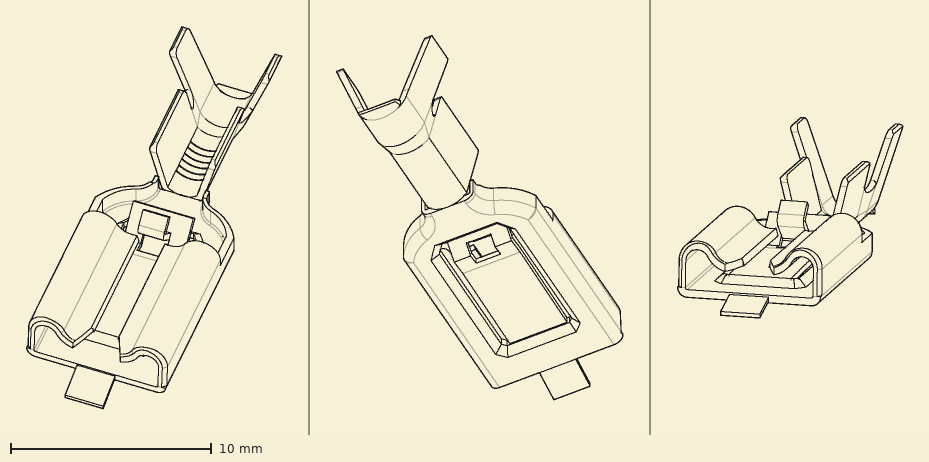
import cadquery as cq
import math


SHEET = 0.4
HALF_WIDTH = 3.7
BEND_INNER = 0.1
BEND_OUTER = BEND_INNER + SHEET
CURL_END = 7.69
WALL_TOP = 1.43

SHOULDER_START = 9.6
NECK_START = 11.85
NECK_HALF_WIDTH = 1.45
NECK_RADIUS = 0.9
NECK_SHEET = 0.2
NECK_SWEEP = math.radians(71)
NECK_DIP_RADIUS = 0.5
NECK_DIP_DEPTH = 0.16

CURL_OUTER = 1.0
CURL_CENTER_Z = 1.85
CURL_SWEEP = math.radians(62)
LIP_RADIUS = 1.14
LIP_OVERRUN = math.radians(15)
FRONT_SLANT = 0.17
FRONT_CHAMFER = 0.2
LEAD_IN_LENGTH = 1.4
LEAD_IN_HALF_WIDTH = 1.3
LIP_HALF_GAP = 0.7

EMBOSS_HALF_WIDTH = 2.36
EMBOSS_FRONT = 1.63
EMBOSS_BACK = 10.02
EMBOSS_SLOPE = 0.4
EMBOSS_BACK_CORNER_X = 0.62
EMBOSS_BACK_CORNER_Y = 0.82
EMBOSS_FRONT_CORNER = 0.45
EMBOSS_HEIGHT = 0.4
LANCE_HALF_WIDTH = 1.6
LANCE_SHEET = 0.32
LANCE_CREST = (7.2, 0.95)
LANCE_DIP = (8.03, 0.87)
LANCE_END = (9.42, 2.23)
HOOK_HALF_WIDTH = 0.68
HOOK_SHEET = 0.34
HOOK_FOLD = (7.48, 2.26)
HOOK_FOLD_RADIUS = 0.45
HOOK_ROOT_LENGTH = 1.62
HOOK_ARM_LENGTH = 1.24
HOOK_WINDOW_START = 7.54

BARREL_RADIUS = 1.41
BARREL_SHEET = 0.35
TIP_FLAT = 0.19
TIP_BEVEL = 0.15
WIRE_START, WIRE_END = 12.06, 16.22
WIRE_TOP = 3.44
WIRE_SHAPE = {"bottom": 0.0, "lean": math.radians(13.6), "arc": math.radians(51)}
GRIP_START, GRIP_END = 17.19, 19.2
GRIP_TOP = 4.73
GRIP_LEAN = math.radians(18.5)
GRIP_SHAPE = {"bottom": -0.37, "lean": GRIP_LEAN, "arc": math.pi / 2 - GRIP_LEAN}
GRIP_BACK_SLANT = 0.15
WING_CORNER = 0.36
VALLEY_BOTTOM = 1.66
GROOVE_DEPTH = 0.05
GROOVE_WIDTH = 0.39
GROOVE_HALF_LENGTH = 0.78
GROOVE_PITCH = 0.81
GROOVE_FIRST = 13.44
GROOVE_COUNT = 3

STUB_HALF_WIDTH = 1.015
STUB_SHEET = 0.2
FRONT_STUB_LENGTH = 1.66
FRONT_STUB_TOP = 0.3
FRONT_STUB_TIP_Z = -0.37
BACK_STUB_END = 19.79
BACK_STUB_TIP_Z = -0.25
BACK_STUB_TIP_RISE = 0.01

CLEAR = 1.0


def box(x_half, y_from, y_to, z_from, z_to):
    size = (2 * x_half, y_to - y_from, z_to - z_from)
    return cq.Workplane("XY").box(*size, centered=(True, False, False)).translate((0, y_from, z_from))


def across(profile, half_width):
    """Extrude a (Y, Z) profile symmetrically along X."""
    return profile.extrude(half_width, both=True)


def polar(center, radius, angle):
    """Point at an angle measured from +Z toward +X, in the XZ plane."""
    return (center[0] + radius * math.sin(angle), center[1] + radius * math.cos(angle))


def both_sides(solid):
    return solid.union(solid.mirror("YZ"))


def tray_outline(side_inset, neck_inset, front, back, z):
    """Plan outline of the box, shoulder and neck, moved inward by the insets."""
    side = HALF_WIDTH - side_inset
    neck = NECK_HALF_WIDTH - neck_inset
    center_x = NECK_HALF_WIDTH + NECK_RADIUS
    radius = NECK_RADIUS + neck_inset

    def on_neck(angle):
        return (center_x - radius * math.cos(angle), NECK_START - radius * math.sin(angle))

    half = (
        cq.Workplane("XY")
        .workplane(offset=z)
        .moveTo(0, back)
        .lineTo(neck, back)
        .lineTo(neck, NECK_START)
        .threePointArc(on_neck(NECK_SWEEP / 2), on_neck(NECK_SWEEP))
        .tangentArcPoint((side, SHOULDER_START), relative=False)
        .lineTo(side, front)
        .lineTo(0, front)
    )
    return half.mirrorY()


def make_tray():
    """Floor with low walls around the box, shoulder and neck."""
    outer = tray_outline(0, 0, 0, WIRE_START, 0).extrude(WALL_TOP)
    outer = outer.faces("<Z").edges("not(<Y or >Y)").fillet(BEND_OUTER)
    inner = tray_outline(SHEET, NECK_SHEET, -CLEAR, WIRE_START + CLEAR, SHEET).extrude(WALL_TOP)
    inner = inner.faces("<Z").edges("not(<Y or >Y)").fillet(BEND_INNER)
    dip_z = WALL_TOP - NECK_DIP_DEPTH + NECK_DIP_RADIUS
    dip = across(cq.Workplane("YZ").center(NECK_START, dip_z).circle(NECK_DIP_RADIUS), HALF_WIDTH)
    rolled_zone = box(HALF_WIDTH + CLEAR, -CLEAR, CURL_END, BEND_OUTER, WALL_TOP + CLEAR)
    return outer.cut(inner).cut(dip).cut(rolled_zone)


def make_rolled_walls():
    """Side walls rolled over into spring lips, with the mating end slanted and chamfered."""
    inner_radius = CURL_OUTER - SHEET
    curl = (CURL_OUTER - HALF_WIDTH, CURL_CENTER_Z)
    lip = polar(curl, CURL_OUTER - SHEET / 2 + LIP_RADIUS, CURL_SWEEP)
    lip_top = LIP_RADIUS - SHEET / 2
    lip_under = LIP_RADIUS + SHEET / 2
    lip_start = math.pi + CURL_SWEEP
    lip_end = math.pi - LIP_OVERRUN
    lip_mid = (lip_start + lip_end) / 2
    curl_mid = (CURL_SWEEP - math.pi / 2) / 2
    profile = (
        cq.Workplane("XZ")
        .moveTo(-HALF_WIDTH, BEND_OUTER)
        .lineTo(-HALF_WIDTH, CURL_CENTER_Z)
        .threePointArc(polar(curl, CURL_OUTER, curl_mid), polar(curl, CURL_OUTER, CURL_SWEEP))
        .threePointArc(polar(lip, lip_top, lip_mid), polar(lip, lip_top, lip_end))
        .lineTo(*polar(lip, lip_under, lip_end))
        .threePointArc(polar(lip, lip_under, lip_mid), polar(lip, lip_under, lip_start))
        .threePointArc(polar(curl, inner_radius, curl_mid), (SHEET - HALF_WIDTH, CURL_CENTER_Z))
        .lineTo(SHEET - HALF_WIDTH, BEND_OUTER)
        .close()
    )
    wall = profile.extrude(-CURL_END)
    curl_top = CURL_CENTER_Z + CURL_OUTER
    slant = [(0, BEND_OUTER), (FRONT_SLANT, curl_top), (-CLEAR, curl_top), (-CLEAR, BEND_OUTER)]
    wall = wall.cut(across(cq.Workplane("YZ").polyline(slant).close(), HALF_WIDTH + CLEAR))

    def on_outer_side(edge):
        x, _, z = edge.positionAt(0.5).toTuple()
        from_curl = math.hypot(x - curl[0], z - curl[1])
        from_lip = math.hypot(x - lip[0], z - lip[1])
        on_wall = abs(x + HALF_WIDTH) < SHEET / 4
        on_curl = abs(from_curl - CURL_OUTER) < SHEET / 4 and z > curl[1]
        on_lip = abs(from_lip - lip_top) < SHEET / 4
        return on_wall or on_curl or on_lip

    wall = wall.faces("<Y").edges().filter(on_outer_side).chamfer(FRONT_CHAMFER)
    lead_in = [
        (-LEAD_IN_HALF_WIDTH, 0),
        (-LIP_HALF_GAP, LEAD_IN_LENGTH),
        (0, LEAD_IN_LENGTH),
        (0, -CLEAR),
        (-LEAD_IN_HALF_WIDTH, -CLEAR),
    ]
    wall = wall.cut(cq.Workplane("XY").polyline(lead_in).close().extrude(curl_top))
    return both_sides(wall)


def emboss_outline(z):
    """Rectangle with cut corners, where the floor starts to rise."""
    side = EMBOSS_HALF_WIDTH
    right_side = [
        (side - EMBOSS_FRONT_CORNER, EMBOSS_FRONT),
        (side, EMBOSS_FRONT + EMBOSS_FRONT_CORNER),
        (side, EMBOSS_BACK - EMBOSS_BACK_CORNER_Y),
        (side - EMBOSS_BACK_CORNER_X, EMBOSS_BACK),
    ]
    points = right_side + [(-x, y) for x, y in reversed(right_side)]
    return cq.Workplane("XY").workplane(offset=z).polyline(points).close()


def emboss_floor(tray):
    """Raise a sloped frame from the floor and open the window inside it."""
    taper = math.degrees(math.atan2(EMBOSS_SLOPE, EMBOSS_HEIGHT))
    hollow = emboss_outline(0).extrude(EMBOSS_HEIGHT, taper=taper)
    raised = emboss_outline(SHEET).extrude(EMBOSS_HEIGHT, taper=taper)
    window = emboss_outline(0).offset2D(-EMBOSS_SLOPE, "intersection").extrude(SHEET + EMBOSS_HEIGHT)
    return tray.cut(hollow).union(raised.cut(hollow)).cut(window)


def make_lance():
    """Raised floor strip that bends up toward the wire end and carries a folded-over hook."""
    start = (EMBOSS_FRONT + EMBOSS_SLOPE, SHEET + EMBOSS_HEIGHT)
    top = [start, LANCE_CREST, LANCE_DIP, LANCE_END]
    slopes = [math.atan2(b[1] - a[1], b[0] - a[0]) for a, b in zip(top, top[1:])]

    def underside(point, slope_before, slope_after):
        middle = (slope_before + slope_after) / 2
        depth = LANCE_SHEET / math.cos((slope_after - slope_before) / 2)
        return (point[0] + depth * math.sin(middle), point[1] - depth * math.cos(middle))

    under = [
        underside(LANCE_END, slopes[2], slopes[2]),
        underside(LANCE_DIP, slopes[1], slopes[2]),
        underside(LANCE_CREST, slopes[0], slopes[1]),
        (start[0], start[1] - LANCE_SHEET),
    ]
    strip = across(cq.Workplane("YZ").polyline(top + under).close(), LANCE_HALF_WIDTH)

    step = math.sqrt(0.5)
    fold_y, fold_z = HOOK_FOLD
    root = (fold_y + HOOK_ROOT_LENGTH * step, fold_z - HOOK_ROOT_LENGTH * step)
    tip = (fold_y + HOOK_ARM_LENGTH * step, fold_z + HOOK_ARM_LENGTH * step)
    shift = HOOK_SHEET * step
    hook_points = [
        HOOK_FOLD,
        root,
        (root[0] + shift, root[1] + shift),
        (fold_y + 2 * shift, fold_z),
        (tip[0] + shift, tip[1] - shift),
        tip,
    ]
    hook = across(cq.Workplane("YZ").polyline(hook_points).close(), HOOK_HALF_WIDTH)
    hook = hook.edges("<Y").fillet(HOOK_FOLD_RADIUS)
    opening_points = [
        (HOOK_WINDOW_START, 0),
        (root[0], 0),
        root,
        HOOK_FOLD,
        (HOOK_WINDOW_START, fold_z),
    ]
    opening = across(cq.Workplane("YZ").polyline(opening_points).close(), HOOK_HALF_WIDTH)
    return strip.cut(opening).union(hook)


def barrel_section(y, height, bottom, lean, arc):
    """Open U section in the XZ plane: a round trough with straight wings leaning outward.

    The trough spans the given arc to each side of its lowest point; the wings leave it there.
    """
    inner_radius = BARREL_RADIUS - BARREL_SHEET
    center_z = bottom + BARREL_RADIUS
    wing_normal = math.pi / 2 - lean
    inner_distance = BARREL_RADIUS * math.cos(wing_normal - arc) - BARREL_SHEET
    inner_arc = wing_normal - math.acos(min(1, inner_distance / inner_radius))

    def on_trough(radius, angle):
        return (radius * math.sin(angle), center_z - radius * math.cos(angle))

    def on_wing(foot, z):
        return (foot[0] + (z - foot[1]) * math.tan(lean), z)

    outer_foot = on_trough(BARREL_RADIUS, arc)
    inner_foot = on_trough(inner_radius, inner_arc)
    inner_tip = on_wing(inner_foot, height)
    wing = [
        outer_foot,
        on_wing(outer_foot, height - TIP_BEVEL),
        (inner_tip[0] + TIP_FLAT, height),
        inner_tip,
        inner_foot,
    ]
    section = cq.Workplane("XZ", origin=(0, y, 0)).moveTo(*wing[0])
    for point in wing[1:]:
        section = section.lineTo(*point)
    left_wing = [(-x, z) for x, z in reversed(wing)]
    section = section.threePointArc((0, bottom + BARREL_SHEET), left_wing[0])
    for point in left_wing[1:]:
        section = section.lineTo(*point)
    return section.threePointArc((0, bottom), wing[0]).close()


def make_barrel(start, end, top, shape, back_slant):
    """Wire barrel with rounded wing corners."""
    barrel = barrel_section(start, top, **shape).extrude(start - end)
    bottom = shape["bottom"]
    side_outline = [
        (start, bottom),
        (end, bottom),
        (end, bottom + BARREL_RADIUS),
        (end - back_slant, top),
        (start, top),
    ]
    envelope = across(cq.Workplane("YZ").polyline(side_outline).close(), HALF_WIDTH)
    envelope = envelope.faces(">Z").edges("|X").fillet(WING_CORNER)
    return barrel.intersect(envelope)


def cut_grooves(barrel):
    """Shallow round-bottomed serrations across the trough of the conductor barrel."""
    trough_radius = BARREL_RADIUS - BARREL_SHEET
    center_z = WIRE_SHAPE["bottom"] + BARREL_RADIUS
    for index in range(GROOVE_COUNT):
        start = GROOVE_FIRST + index * GROOVE_PITCH - GROOVE_WIDTH / 2
        cutter = cq.Workplane("XZ", origin=(0, start, center_z)).circle(trough_radius + GROOVE_DEPTH)
        cutter = cutter.extrude(-GROOVE_WIDTH)
        trough = box(GROOVE_HALF_LENGTH, start, start + GROOVE_WIDTH, 0, center_z)
        barrel = barrel.cut(cutter.intersect(trough))
    return barrel


def make_transition():
    """Trough between the two barrels, with a round-bottomed valley between the wings."""
    valley_radius = (GRIP_START - WIRE_END) / 2
    valley_z = VALLEY_BOTTOM + valley_radius
    front = barrel_section(WIRE_END, valley_z, **WIRE_SHAPE).val()
    back = barrel_section(GRIP_START, valley_z, **GRIP_SHAPE).val()
    trough = cq.Workplane(obj=cq.Solid.makeLoft([front, back], True))
    middle = WIRE_END + valley_radius
    valley = cq.Workplane("YZ").center(middle, valley_z).circle(valley_radius)
    return trough.cut(across(valley, HALF_WIDTH))


def make_front_stub():
    points = [
        (0, FRONT_STUB_TOP),
        (0, FRONT_STUB_TOP - STUB_SHEET),
        (-FRONT_STUB_LENGTH, FRONT_STUB_TIP_Z),
        (-FRONT_STUB_LENGTH, FRONT_STUB_TIP_Z + STUB_SHEET),
    ]
    return across(cq.Workplane("YZ").polyline(points).close(), STUB_HALF_WIDTH)


def make_back_stub():
    """Stub that flattens from the curved trough of the rear barrel to a thin straight end."""
    rise = BARREL_RADIUS - math.sqrt(BARREL_RADIUS**2 - STUB_HALF_WIDTH**2)

    def section(y, low, side_rise, thick):
        return (
            cq.Workplane("XZ", origin=(0, y, 0))
            .moveTo(-STUB_HALF_WIDTH, low + side_rise)
            .threePointArc((0, low), (STUB_HALF_WIDTH, low + side_rise))
            .lineTo(STUB_HALF_WIDTH, low + side_rise + thick)
            .threePointArc((0, low + thick), (-STUB_HALF_WIDTH, low + side_rise + thick))
            .close()
            .val()
        )

    root = section(GRIP_END, GRIP_SHAPE["bottom"], rise, BARREL_SHEET)
    tip = section(BACK_STUB_END, BACK_STUB_TIP_Z, BACK_STUB_TIP_RISE, STUB_SHEET)
    return cq.Workplane(obj=cq.Solid.makeLoft([root, tip], True))


wire_barrel = cut_grooves(make_barrel(WIRE_START, WIRE_END, WIRE_TOP, WIRE_SHAPE, 0))
grip_barrel = make_barrel(GRIP_START, GRIP_END, GRIP_TOP, GRIP_SHAPE, GRIP_BACK_SLANT)

result = emboss_floor(make_tray())
for piece in (
    make_rolled_walls(),
    make_lance(),
    wire_barrel,
    make_transition(),
    grip_barrel,
    make_front_stub(),
    make_back_stub(),
):
    result = result.union(piece)